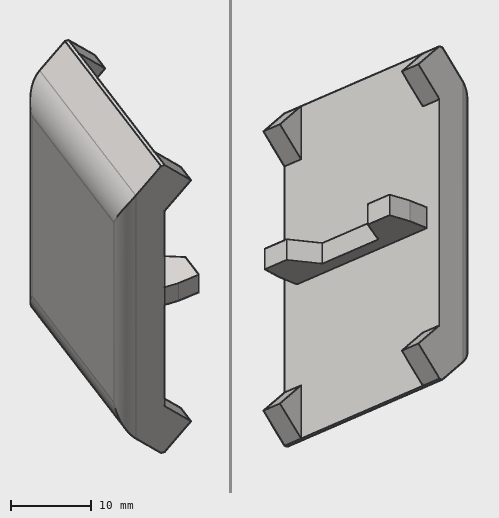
import cadquery as cq
import math

width = 27.6
height = 45.2
depth = 12.0
plate_thickness = 6.0

bend_radius = 7.0
bend_angle = math.radians(45)
tip_flat_front = 5.5
flange_length_back = 3.6
flange_gap_half_width = 10.85

side_round_radius = 2.05

tab_height = 2.8
tab_half_width = 11.55
tab_tip_half_width = 11.1
tab_taper_length = 3.05
notch_floor_y = 8.0
notch_floor_half_width = 4.95
notch_mouth_half_width = 7.25

half_width = width / 2
half_height = height / 2


def make_plate():
    """Extrude the bent side profile, symmetric about mid-height, across the width."""
    bend_end_y = bend_radius * (1 - math.cos(bend_angle))
    bend_end_z = half_height - (tip_flat_front - bend_end_y)
    bend_start_z = bend_end_z - bend_radius * math.sin(bend_angle)
    bend_mid_y = bend_radius * (1 - math.cos(bend_angle / 2))
    bend_mid_z = bend_start_z + bend_radius * math.sin(bend_angle / 2)
    flange_end_y = plate_thickness + flange_length_back
    flange_end_z = half_height - flange_length_back
    inner_corner_z = flange_end_z - flange_length_back
    return (
        cq.Workplane("YZ", origin=(-half_width, 0, 0))
        .moveTo(0, -bend_start_z)
        .lineTo(0, bend_start_z)
        .threePointArc((bend_mid_y, bend_mid_z), (bend_end_y, bend_end_z))
        .lineTo(tip_flat_front, half_height)
        .lineTo(plate_thickness, half_height)
        .lineTo(flange_end_y, flange_end_z)
        .lineTo(plate_thickness, inner_corner_z)
        .lineTo(plate_thickness, -inner_corner_z)
        .lineTo(flange_end_y, -flange_end_z)
        .lineTo(plate_thickness, -half_height)
        .lineTo(tip_flat_front, -half_height)
        .lineTo(bend_end_y, -bend_end_z)
        .threePointArc((bend_mid_y, -bend_mid_z), (0, -bend_start_z))
        .close()
        .extrude(width)
    )


def make_side_rounding():
    """Full-height envelope that rounds the two front side edges."""
    return (
        cq.Workplane("XY")
        .box(width, depth, height, centered=(True, False, True))
        .edges("|Z and <Y")
        .fillet(side_round_radius)
    )


def make_flange_gap():
    """Space behind the plate that leaves flanges only near the two sides."""
    return (
        cq.Workplane("XY", origin=(0, plate_thickness, 0))
        .box(2 * flange_gap_half_width, depth, height, centered=(True, False, True))
    )


def make_tab():
    """Flat tab with tapered tips and a trapezoidal notch, joined to the plate's back."""
    taper_start_y = depth - tab_taper_length
    right_side = [
        (tab_half_width, plate_thickness),
        (tab_half_width, taper_start_y),
        (tab_tip_half_width, depth),
        (notch_mouth_half_width, depth),
        (notch_floor_half_width, notch_floor_y),
    ]
    left_side = [(-x, y) for x, y in reversed(right_side)]
    return (
        cq.Workplane("XY")
        .polyline(right_side + left_side)
        .close()
        .extrude(tab_height / 2, both=True)
    )


plate = make_plate().intersect(make_side_rounding())
result = plate.cut(make_flange_gap()).union(make_tab())